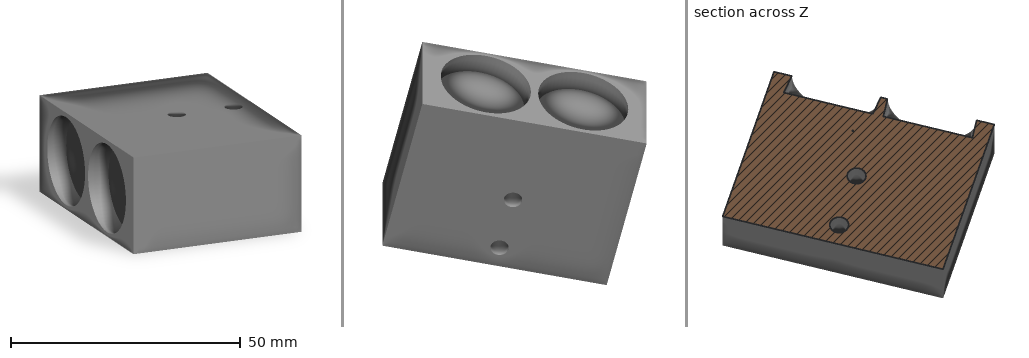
import cadquery as cq
import math

width = 50.0
depth = 40.0
height = 22.0

pocket_diameter = 20.0
pocket_spacing = 21.7
pocket_depth = 4.7
pocket_tilt = 5.0

hole_diameter = 4.0
hole_distances_from_back = (5.0, 18.5)


def pocket_cutter(side):
    """Tilted cylinder trimmed flat at the pocket floor; side is -1 for left, +1 for right."""
    angle = math.radians(pocket_tilt)
    axis = cq.Vector(side * math.sin(angle), math.cos(angle), 0)
    mouth = cq.Vector(side * pocket_spacing / 2, -depth / 2, 0)
    start = mouth - axis * pocket_depth
    bore = cq.Solid.makeCylinder(pocket_diameter / 2, 3 * pocket_depth, start, axis)
    front_layer = (
        cq.Workplane("XY")
        .box(width, pocket_depth, height)
        .translate((0, (pocket_depth - depth) / 2, 0))
    )
    return front_layer.intersect(cq.Workplane(bore))


block = cq.Workplane("XY").box(width, depth, height)

for side in (-1, 1):
    block = block.cut(pocket_cutter(side))

hole_centres = [(0, depth / 2 - distance) for distance in hole_distances_from_back]
result = block.faces(">Z").workplane().pushPoints(hole_centres).hole(hole_diameter)